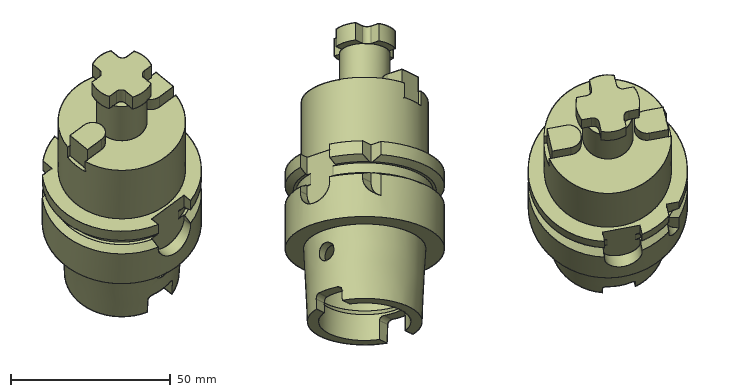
import cadquery as cq
import math

total_height = 98.45
flange_bottom = 25.0
flange_top = 51.0
body_top = 75.0
head_bottom = 92.4
undercut_height = 0.5
neck_top = head_bottom - undercut_height

shank_end_radius = 18.0
shank_top_radius = 19.2
flange_radius = 25.0
body_radius = 20.0
neck_radius = 8.0
undercut_radius = 6.0
head_radius = 20.0 / 2

groove_centre = 43.1
groove_width = 3.7
groove_floor_radius = 21.5
groove_lip_height = 1.5
groove_lip_angle = 60.0

mouth_radius = 14.5
mouth_depth = 8.9
chamber_radius = 16.0
chamber_start = 10.8
chamber_end = flange_bottom

cross_hole_diameter = 6.0
cross_hole_height = 17.7
drive_slot_width = 10.5
drive_slot_fillet = 1.5
shallow_slot_depth = 4.8
deep_slot_depth = 8.0

keyway_floor_offset = 21.0
keyway_bottom = 32.2
narrow_keyway_width = 12.0
wide_keyway_width = 14.0

notch_wall_x = -15.5
notch_wall_y = -15.6
notch_end_radius = 6.0

key_width = 8.0
key_top = 80.0
key_outer_offset = 18.6
key_inner_offset = 8.6
key_seat_height = 70.0

arm_width = 8.0
head_corner_fillet = 2.0


def turned_body():
    """Solid of revolution from the shank up to the undercut below the head."""
    lip_radius = flange_radius - groove_lip_height * math.tan(math.radians(groove_lip_angle))
    groove_low = groove_centre - groove_width / 2
    groove_high = groove_centre + groove_width / 2
    profile = [
        (0, 0),
        (shank_end_radius, 0),
        (shank_top_radius, flange_bottom),
        (flange_radius, flange_bottom),
        (flange_radius, groove_low - groove_lip_height),
        (lip_radius, groove_low),
        (groove_floor_radius, groove_low),
        (groove_floor_radius, groove_high),
        (lip_radius, groove_high),
        (flange_radius, groove_high + groove_lip_height),
        (flange_radius, flange_top),
        (body_radius, flange_top),
        (body_radius, body_top),
        (neck_radius, body_top),
        (neck_radius, neck_top),
        (undercut_radius, neck_top),
        (undercut_radius, head_bottom),
        (0, head_bottom),
    ]
    return cq.Workplane("XZ").polyline(profile).close().revolve(360, (0, 0), (0, 1))


def shank_bore():
    """Hollow of the shank, with a conical shoulder behind the mouth."""
    profile = [
        (0, 0),
        (mouth_radius, 0),
        (mouth_radius, mouth_depth),
        (chamber_radius, chamber_start),
        (chamber_radius, chamber_end),
        (0, chamber_end),
    ]
    return cq.Workplane("XZ").polyline(profile).close().revolve(360, (0, 0), (0, 1))


def cross_hole():
    """Hole through both shank walls along X."""
    return (
        cq.Workplane("YZ")
        .center(0, cross_hole_height)
        .circle(cross_hole_diameter / 2)
        .extrude(shank_top_radius, both=True)
    )


def drive_slot(side, depth):
    """Slot in the shank end, on the -X (side = -1) or +X (side = 1) wall."""
    return (
        cq.Workplane("XY")
        .box(flange_radius, drive_slot_width, depth, centered=(True, True, False))
        .edges("|X and >Z")
        .fillet(drive_slot_fillet)
        .translate((side * flange_radius / 2, 0, 0))
    )


def round_ended_cutter(width, centre_y, bottom):
    """Cutter along +X from X = 0, open at the flange top with a round lower end."""
    radius = width / 2
    end_centre = bottom + radius
    return (
        cq.Workplane("YZ")
        .moveTo(centre_y - radius, flange_top)
        .lineTo(centre_y - radius, end_centre)
        .threePointArc((centre_y, bottom), (centre_y + radius, end_centre))
        .lineTo(centre_y + radius, flange_top)
        .close()
        .extrude(flange_radius)
    )


def flange_keyway(side, width):
    """Keyway with a flat floor on the -X (side = -1) or +X (side = 1) side."""
    cutter = round_ended_cutter(width, 0, keyway_bottom)
    start = keyway_floor_offset if side > 0 else -keyway_floor_offset - flange_radius
    return cutter.translate((start, 0, 0))


def orientation_notch():
    """Round-ended notch at the (-X, -Y) corner of the flange."""
    cutter = round_ended_cutter(2 * notch_end_radius, notch_wall_y - notch_end_radius, keyway_bottom)
    return cutter.translate((notch_wall_x - flange_radius, 0, 0))


def key_seat(side):
    """Clearance at the rim of the body, outside a driving key."""
    rim_width = flange_radius - key_outer_offset
    return (
        cq.Workplane("XY", origin=(0, side * (key_outer_offset + rim_width / 2), key_seat_height))
        .rect(key_width, rim_width)
        .extrude(body_top - key_seat_height)
    )


def driving_key(side):
    """Key with a round inner end, set into the body on the -Y or +Y side."""
    half_width = key_width / 2
    round_start = side * (key_inner_offset + half_width)
    outer = side * key_outer_offset
    return (
        cq.Workplane("XY", origin=(0, 0, key_seat_height))
        .moveTo(-half_width, outer)
        .lineTo(-half_width, round_start)
        .threePointArc((0, side * key_inner_offset), (half_width, round_start))
        .lineTo(half_width, outer)
        .close()
        .extrude(key_top - key_seat_height)
    )


def screw_head():
    """Four-armed head with filleted inner corners and round arm ends."""
    thickness = total_height - head_bottom
    base = cq.Workplane("XY", origin=(0, 0, head_bottom))
    arm_length = 2 * head_radius
    cross = base.rect(arm_length, arm_width).extrude(thickness)
    cross = cross.union(base.rect(arm_width, arm_length).extrude(thickness))
    inner_corners = cq.selectors.BoxSelector(
        (-arm_width, -arm_width, 0), (arm_width, arm_width, total_height)
    )
    cross = cross.edges("|Z").edges(inner_corners).fillet(head_corner_fillet)
    return cross.intersect(base.circle(head_radius).extrude(thickness))


result = turned_body().cut(shank_bore()).cut(cross_hole())
result = result.cut(drive_slot(-1, shallow_slot_depth)).cut(drive_slot(1, deep_slot_depth))
result = result.cut(flange_keyway(-1, narrow_keyway_width)).cut(flange_keyway(1, wide_keyway_width))
result = result.cut(orientation_notch())
for key_side in (-1, 1):
    result = result.cut(key_seat(key_side)).union(driving_key(key_side))
result = result.union(screw_head())